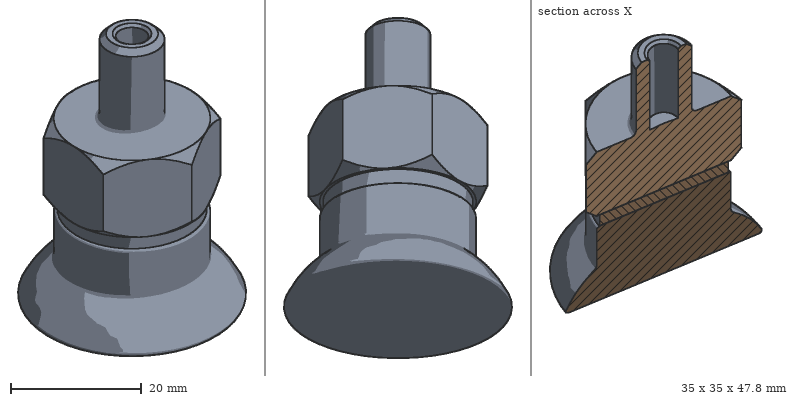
import cadquery as cq
import math

STUD_DIAMETER = 10.0
STUD_CHAMFER = 1.0
STUD_FILLET = 1.0
TOTAL_HEIGHT = 47.8
HEX_FLATS = 24.0
HEX_HEIGHT = 14.0
HEX_BOTTOM = 18.4
HEX_TOP = HEX_BOTTOM + HEX_HEIGHT
HEX_CHAMFER_ANGLE = 45.0

BORE_DIAMETER = 5.0
BORE_COUNTERSINK = 0.5
BORE_DEPTH = TOTAL_HEIGHT - HEX_TOP
FLOOR_SLOPE = 4.0

NECK_DIAMETER = 23.0

COLLAR_DIAMETER = HEX_FLATS
COLLAR_TOP = 16.0
COLLAR_ROUND = 0.5
SKIRT_TOP = 7.1
FLARE_ROUND = 1.0
FLARE_ANGLE = 45.0
SKIRT_MIDDLE_RADIUS = 15.2
SKIRT_MIDDLE = 4.3
RIM_DIAMETER = 35.0
RIM_ROUND = 0.55
RIM_ROUND_END_ANGLE = 35.0


def make_hexagon():
    """Hexagon with corners on the Y axis, both ends turned to a chamfer circle."""
    corner_radius = HEX_FLATS / math.sqrt(3)
    corner_drop = (corner_radius - HEX_FLATS / 2) * math.tan(math.radians(HEX_CHAMFER_ANGLE))
    prism = (
        cq.Workplane("XY", origin=(0, 0, HEX_BOTTOM))
        .polygon(6, 2 * corner_radius)
        .extrude(HEX_HEIGHT)
        .rotate((0, 0, 0), (0, 0, 1), 30)
    )
    turned_blank = (
        cq.Workplane("XZ")
        .moveTo(0, HEX_BOTTOM)
        .lineTo(HEX_FLATS / 2, HEX_BOTTOM)
        .lineTo(corner_radius, HEX_BOTTOM + corner_drop)
        .lineTo(corner_radius, HEX_TOP - corner_drop)
        .lineTo(HEX_FLATS / 2, HEX_TOP)
        .lineTo(0, HEX_TOP)
        .close()
        .revolve(360, (0, 0, 0), (0, 1, 0))
    )
    return prism.intersect(turned_blank)


def make_stud():
    """Chamfered stud that flares into the hexagon through a concave fillet."""
    radius = STUD_DIAMETER / 2
    bend = STUD_FILLET * (1 - math.sqrt(0.5))
    return (
        cq.Workplane("XZ")
        .moveTo(0, HEX_TOP)
        .lineTo(radius + STUD_FILLET, HEX_TOP)
        .threePointArc((radius + bend, HEX_TOP + bend), (radius, HEX_TOP + STUD_FILLET))
        .lineTo(radius, TOTAL_HEIGHT - STUD_CHAMFER)
        .lineTo(radius - STUD_CHAMFER, TOTAL_HEIGHT)
        .lineTo(0, TOTAL_HEIGHT)
        .close()
        .revolve(360, (0, 0, 0), (0, 1, 0))
    )


def make_bore():
    """Countersunk blind bore whose floor rises to a shallow central cone."""
    radius = BORE_DIAMETER / 2
    floor = TOTAL_HEIGHT - BORE_DEPTH
    cone_height = radius * math.tan(math.radians(FLOOR_SLOPE))
    return (
        cq.Workplane("XZ")
        .moveTo(0, floor + cone_height)
        .lineTo(radius, floor)
        .lineTo(radius, TOTAL_HEIGHT - BORE_COUNTERSINK)
        .lineTo(radius + BORE_COUNTERSINK, TOTAL_HEIGHT)
        .lineTo(0, TOTAL_HEIGHT)
        .close()
        .revolve(360, (0, 0, 0), (0, 1, 0))
    )


def make_fitting():
    return make_hexagon().union(make_stud()).cut(make_bore())


def make_neck():
    """Plain disc that fills the gap between the cup and the hexagon."""
    return (
        cq.Workplane("XY", origin=(0, 0, COLLAR_TOP))
        .circle(NECK_DIAMETER / 2)
        .extrude(HEX_BOTTOM - COLLAR_TOP)
    )


def make_cup():
    """Round collar that flares into a bulging conical skirt with a rounded rim."""
    collar_radius = COLLAR_DIAMETER / 2
    rim_radius = RIM_DIAMETER / 2
    end_angle = math.radians(RIM_ROUND_END_ANGLE)
    skirt_bottom = (
        rim_radius - RIM_ROUND + RIM_ROUND * math.cos(end_angle),
        RIM_ROUND + RIM_ROUND * math.sin(end_angle),
    )
    flare_angle = math.radians(FLARE_ANGLE)
    flare_centre_radius = collar_radius + FLARE_ROUND
    flare_top = SKIRT_TOP + FLARE_ROUND * math.sin(flare_angle)
    skirt_top = (flare_centre_radius - FLARE_ROUND * math.cos(flare_angle), SKIRT_TOP)
    flare_middle = (
        flare_centre_radius - FLARE_ROUND * math.cos(flare_angle / 2),
        flare_top - FLARE_ROUND * math.sin(flare_angle / 2),
    )
    collar_bend = COLLAR_ROUND * (1 - math.sqrt(0.5))
    return (
        cq.Workplane("XZ")
        .lineTo(rim_radius - RIM_ROUND, 0)
        .threePointArc((rim_radius, RIM_ROUND), skirt_bottom)
        .threePointArc((SKIRT_MIDDLE_RADIUS, SKIRT_MIDDLE), skirt_top)
        .threePointArc(flare_middle, (collar_radius, flare_top))
        .lineTo(collar_radius, COLLAR_TOP - COLLAR_ROUND)
        .threePointArc(
            (collar_radius - collar_bend, COLLAR_TOP - collar_bend),
            (collar_radius - COLLAR_ROUND, COLLAR_TOP),
        )
        .lineTo(0, COLLAR_TOP)
        .close()
        .revolve(360, (0, 0, 0), (0, 1, 0))
    )


fitting = make_fitting()
neck = make_neck()
cup = make_cup()

result = cq.Compound.makeCompound([fitting.val(), neck.val(), cup.val()])